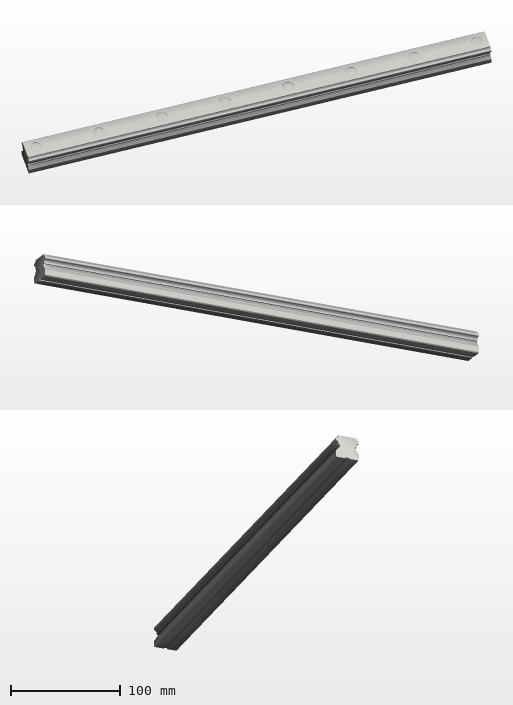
import cadquery as cq
import math

length = 440.0
width = 23.0
height = 22.0
half_width = width / 2

head_half_width = 9.0
lip_middle_z = 18.0
lip_height = 1.8
lip_chamfer = 0.5
groove_size = half_width - lip_chamfer - head_half_width
groove_sag = 0.5

waist_half_width = 7.5
waist_top_z = 12.8
waist_bottom_z = 10.0
foot_slope_top_z = 9.2
foot_slope_bottom_z = 6.0
foot_chamfer = 1.0

channel_half_width = 1.8
channel_depth = 1.0

recess_count = 8
end_distance = 10.0
recess_pitch = (length - 2 * end_distance) / (recess_count - 1)
recess_diameter = 11.0
recess_depth = 0.5


def ball_groove(outline, start, end):
    """Continue an upward outline with an arc from start to end, bowed into the rail."""
    chord_x = end[0] - start[0]
    chord_z = end[1] - start[1]
    chord = math.hypot(chord_x, chord_z)
    middle = (
        (start[0] + end[0]) / 2 - groove_sag * chord_z / chord,
        (start[1] + end[1]) / 2 + groove_sag * chord_x / chord,
    )
    return outline.lineTo(*start).threePointArc(middle, end)


def rail_half():
    """Half of the rail on the +X side, extruded along Y."""
    lip_bottom_z = lip_middle_z - lip_height / 2
    lip_top_z = lip_middle_z + lip_height / 2
    groove_outer_x = half_width - lip_chamfer
    lower_groove_z = lip_bottom_z - lip_chamfer
    upper_groove_z = lip_top_z + lip_chamfer

    outline = (
        cq.Workplane("XZ")
        .moveTo(0, channel_depth)
        .lineTo(channel_half_width, channel_depth)
        .lineTo(channel_half_width, 0)
        .lineTo(half_width - foot_chamfer, 0)
        .lineTo(half_width, foot_chamfer)
        .lineTo(half_width, foot_slope_bottom_z)
        .lineTo(head_half_width, foot_slope_top_z)
        .lineTo(head_half_width, waist_bottom_z)
        .lineTo(waist_half_width, waist_bottom_z)
        .lineTo(waist_half_width, waist_top_z)
        .lineTo(head_half_width, waist_top_z)
    )

    outline = ball_groove(
        outline,
        (head_half_width, lower_groove_z - groove_size),
        (groove_outer_x, lower_groove_z),
    )
    outline = outline.lineTo(half_width, lip_bottom_z).lineTo(half_width, lip_top_z)
    outline = ball_groove(
        outline,
        (groove_outer_x, upper_groove_z),
        (head_half_width, upper_groove_z + groove_size),
    )

    outline = outline.lineTo(head_half_width, height).lineTo(0, height).close()
    return outline.extrude(length / 2, both=True)


def recesses():
    """Shallow round recesses in one row along the top face."""
    return (
        cq.Workplane("XY", origin=(0, 0, height))
        .rarray(width, recess_pitch, 1, recess_count)
        .circle(recess_diameter / 2)
        .extrude(-recess_depth)
    )


right_half = rail_half()
rail = right_half.union(right_half.mirror("YZ")).clean()
result = rail.cut(recesses())